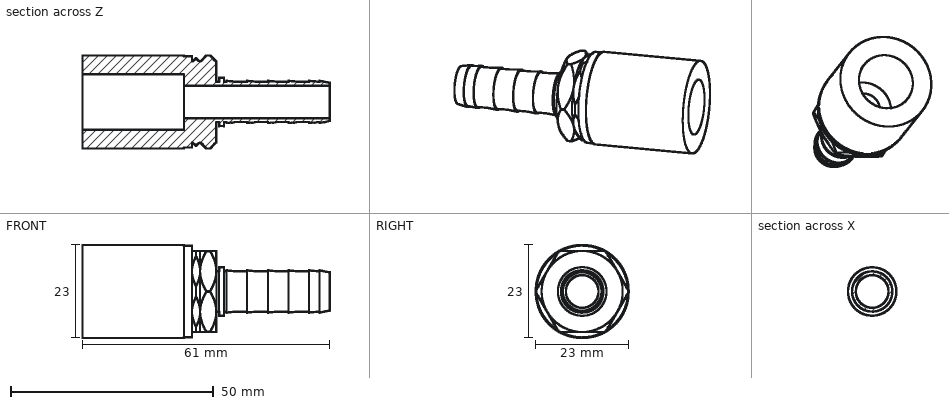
import cadquery as cq
import math

sleeve_end = 25.0
shoulder_end = 27.0
lock_nut_end = 29.0
hex_end = 33.0
collar_start = 33.7
collar_end = 34.9
tail_start = 35.5
tail_end = 61.0

sleeve_diameter = 23.0
shoulder_diameter = 22.6
lock_nut_ridge_diameter = 21.75
hex_corner_diameter = sleeve_diameter
collar_diameter = 12.0
stem_diameter = 10.0
barb_diameter = 10.5
tip_diameter = 9.5
bore_diameter = 8.0
socket_diameter = 13.6

hex_across_flats = 20.0
socket_depth = sleeve_end

barb_count = 5
tail_pitch = (tail_end - tail_start) / (2 * barb_count)


def cylinder(start, end, diameter):
    """Solid cylinder on the X axis between two positions."""
    return cq.Workplane("YZ", origin=(start, 0, 0)).circle(diameter / 2).extrude(end - start)


def revolve_about_axis(profile_points):
    """Revolve a closed (x, radius) profile about the X axis."""
    return cq.Workplane("XY").polyline(profile_points).close().revolve(360, (0, 0, 0), (1, 0, 0))


def tapered_ring(start, end, start_diameter, end_diameter):
    """Solid cone frustum on the X axis."""
    return revolve_about_axis(
        [(start, 0), (start, start_diameter / 2), (end, end_diameter / 2), (end, 0)]
    )


def chamfered_hex(start, end, ridge_diameter, chamfer_length):
    """Hexagon with flats facing +Z and -Z, its corners cut by a cone at each end."""
    across_corners = hex_across_flats / math.cos(math.pi / 6)
    prism = cq.Workplane("YZ", origin=(start, 0, 0)).polygon(6, across_corners).extrude(end - start)
    end_radius = hex_across_flats / 2
    ridge_radius = ridge_diameter / 2
    profile = [(start, 0), (start, end_radius), (start + chamfer_length, ridge_radius)]
    if 2 * chamfer_length < end - start:
        profile.append((end - chamfer_length, ridge_radius))
    profile += [(end, end_radius), (end, 0)]
    return prism.intersect(revolve_about_axis(profile))


def hose_tail():
    """Stem with evenly spaced barbs and a tapered tip."""
    tip_start = tail_end - tail_pitch
    tail = cylinder(hex_end, tip_start, stem_diameter)
    for index in range(barb_count):
        barb_start = tail_start + 2 * index * tail_pitch
        tail = tail.union(
            tapered_ring(barb_start, barb_start + tail_pitch, barb_diameter, stem_diameter)
        )
    return tail.union(tapered_ring(tip_start, tail_end, barb_diameter, tip_diameter))


lock_nut_chamfer_length = (lock_nut_end - shoulder_end) / 2
hex_chamfer_length = (hex_corner_diameter - hex_across_flats) / 2

body = cylinder(0, sleeve_end, sleeve_diameter)
body = body.union(cylinder(sleeve_end, shoulder_end, shoulder_diameter))
body = body.union(
    chamfered_hex(shoulder_end, lock_nut_end, lock_nut_ridge_diameter, lock_nut_chamfer_length)
)
body = body.union(chamfered_hex(lock_nut_end, hex_end, hex_corner_diameter, hex_chamfer_length))
body = body.union(hose_tail())
body = body.union(cylinder(collar_start, collar_end, collar_diameter))

body = body.cut(cylinder(0, tail_end, bore_diameter))
result = body.cut(cylinder(0, socket_depth, socket_diameter))